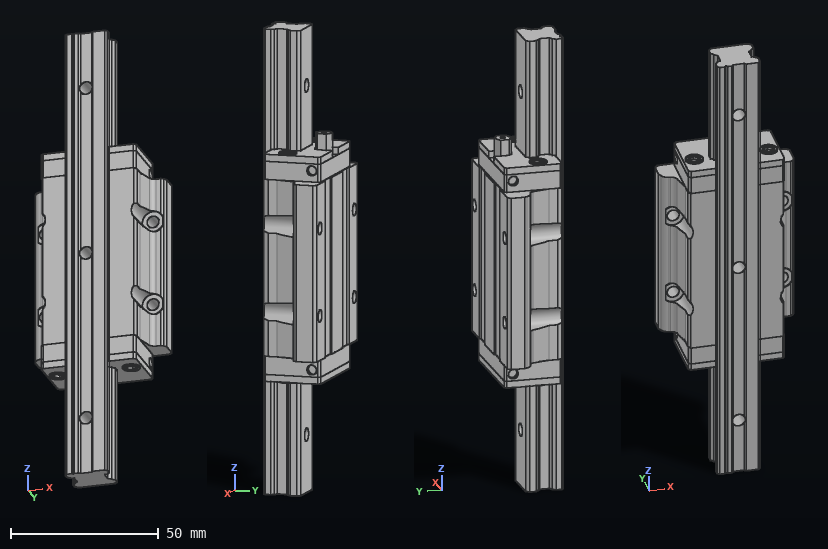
import cadquery as cq


RAIL_LENGTH = 160.0
RAIL_TOP = 13.1
RAIL_HALF_WIDTH = 7.5
RAIL_BASE_CHAMFER = 0.8
RAIL_TOP_CHAMFER = 1.1
RAIL_FOOT_TOP = 2.7
RAIL_FLARE_X = 6.7
RAIL_FLARE_Y = 3.8
RAIL_WAIST_HALF_WIDTH = 5.5
RAIL_WAIST_BOTTOM = 4.5
RAIL_WAIST_TOP = 7.8
BALL_GROOVE_OUTER_Y = 9.8
BALL_GROOVE_MID_X = 7.0
BALL_GROOVE_MID_Y = 9.5
BALL_GROOVE_INNER_X = 6.5
BALL_GROOVE_INNER_Y = 8.8
BASE_GROOVE_HALF_WIDTH = 2.5
BASE_GROOVE_SLOPE = 0.6
BASE_GROOVE_DEPTH = 0.6
MARK_GROOVE_X = -4.5
MARK_GROOVE_WIDTH = 1.0
MARK_GROOVE_DEPTH = 0.6
RAIL_HOLE_DIAMETER = 4.5
RAIL_HOLE_PITCH = 60.0

BLOCK_LENGTH = 60.8
CARRIAGE_OFFSET = -0.3
BLOCK_TOP = 24.0
BLOCK_BOTTOM = 3.0
FLANGE_HALF_WIDTH = 23.5
FLANGE_BOTTOM = 15.4
FLANGE_CHAMFER = 1.1
FLANGE_LOWER_CHAMFER = 1.6
FLANGE_LOWER_BEND_X = 22.7
FLANGE_LOWER_BEND_Y = 15.8
FLANGE_ROUND_TOP = 18.2
FLANGE_ROUND_START = (23.0, 17.3)
FLANGE_ROUND_MID = (22.2, 16.2)
FLANGE_ROUND_END_X = 20.6
FILLET_START_X = 20.2
FILLET_MID = (19.0, 14.9)
FILLET_END = (18.2, 14.0)
BODY_HALF_WIDTH = 16.8
BODY_SIDE_TOP = 7.8
BODY_CHAMFER = 0.6
BODY_CHAMFER_TOP = 4.8
TOP_RELIEF_DEPTH = 0.5
TOP_RELIEF_INNER_X = 6.0
TOP_RELIEF_OUTER_X = 13.1
TOP_RELIEF_SLOPE = 0.8
BLOCK_HOLE_DIAMETER = 4.2
BLOCK_HOLE_SPACING_X = 38.0
BLOCK_HOLE_SPACING_Z = 30.0
SPOTFACE_DIAMETER = 7.5
SPOTFACE_LEVEL = 15.7

CAP_TOP = 23.4
CAP_LENGTH = 6.2
SEAL_LENGTH = 2.4
CAP_CHAMFER = 0.8
SIDE_HOLE_DIAMETER = 3.4
SIDE_HOLE_Y = 20.3
SIDE_HOLE_FROM_BLOCK = 3.8
SIDE_HOLE_DEPTH = 1.6

SCREW_X = 13.0
SCREW_Y = 10.5
SCREW_HEAD_DIAMETER = 6.0
SCREW_HEAD_RISE = 0.5
SCREW_HEAD_CHAMFER = 0.3
SCREW_RIM_DIAMETER = 4.0
SCREW_RIM_DEPTH = 0.3
SCREW_SOCKET_CORNERS = 3.4
SCREW_SOCKET_DEPTH = 1.3

NIPPLE_Y = 19.4
NIPPLE_CORNERS = 6.0
NIPPLE_RISE = 5.5
NIPPLE_TIP_DIAMETER = 1.6
NIPPLE_TIP_RISE = 0.5
NIPPLE_SLOT_WIDTH = 6.2

CAP_START = BLOCK_LENGTH / 2
SEAL_START = CAP_START + CAP_LENGTH
SEAL_END = SEAL_START + SEAL_LENGTH


def extrude_z(profile, start, end):
    return profile.extrude(end - start).translate((0, 0, start))


def mirror_x(point):
    return (-point[0], point[1])


def cylinder_y(diameter, x, z, bottom, top):
    return cq.Workplane(
        cq.Solid.makeCylinder(diameter / 2, top - bottom, cq.Vector(x, bottom, z), cq.Vector(0, 1, 0))
    )


def rail_profile():
    """Closed rail section without the grooves in its base."""
    foot_edge_x = RAIL_HALF_WIDTH - RAIL_BASE_CHAMFER
    head_edge_x = RAIL_HALF_WIDTH - RAIL_TOP_CHAMFER
    head_side_top = RAIL_TOP - RAIL_TOP_CHAMFER
    return (
        cq.Workplane("XY")
        .moveTo(-foot_edge_x, 0)
        .lineTo(foot_edge_x, 0)
        .lineTo(RAIL_HALF_WIDTH, RAIL_BASE_CHAMFER)
        .lineTo(RAIL_HALF_WIDTH, RAIL_FOOT_TOP)
        .lineTo(RAIL_FLARE_X, RAIL_FLARE_Y)
        .lineTo(RAIL_WAIST_HALF_WIDTH, RAIL_WAIST_BOTTOM)
        .lineTo(RAIL_WAIST_HALF_WIDTH, RAIL_WAIST_TOP)
        .lineTo(BALL_GROOVE_INNER_X, BALL_GROOVE_INNER_Y)
        .threePointArc((BALL_GROOVE_MID_X, BALL_GROOVE_MID_Y), (RAIL_HALF_WIDTH, BALL_GROOVE_OUTER_Y))
        .lineTo(RAIL_HALF_WIDTH, head_side_top)
        .lineTo(head_edge_x, RAIL_TOP)
        .lineTo(-head_edge_x, RAIL_TOP)
        .lineTo(-RAIL_HALF_WIDTH, head_side_top)
        .lineTo(-RAIL_HALF_WIDTH, BALL_GROOVE_OUTER_Y)
        .threePointArc((-BALL_GROOVE_MID_X, BALL_GROOVE_MID_Y), (-BALL_GROOVE_INNER_X, BALL_GROOVE_INNER_Y))
        .lineTo(-RAIL_WAIST_HALF_WIDTH, RAIL_WAIST_TOP)
        .lineTo(-RAIL_WAIST_HALF_WIDTH, RAIL_WAIST_BOTTOM)
        .lineTo(-RAIL_FLARE_X, RAIL_FLARE_Y)
        .lineTo(-RAIL_HALF_WIDTH, RAIL_FOOT_TOP)
        .lineTo(-RAIL_HALF_WIDTH, RAIL_BASE_CHAMFER)
        .close()
    )


def make_rail():
    half_length = RAIL_LENGTH / 2
    rail = extrude_z(rail_profile(), -half_length, half_length)

    base_groove = cq.Workplane("XY").polyline([
        (-BASE_GROOVE_HALF_WIDTH, 0),
        (-BASE_GROOVE_HALF_WIDTH + BASE_GROOVE_SLOPE, BASE_GROOVE_DEPTH),
        (BASE_GROOVE_HALF_WIDTH - BASE_GROOVE_SLOPE, BASE_GROOVE_DEPTH),
        (BASE_GROOVE_HALF_WIDTH, 0),
    ]).close()
    rail = rail.cut(extrude_z(base_groove, -half_length, half_length))

    mark_groove = cq.Workplane("XY").polyline([
        (MARK_GROOVE_X - MARK_GROOVE_WIDTH / 2, 0),
        (MARK_GROOVE_X, MARK_GROOVE_DEPTH),
        (MARK_GROOVE_X + MARK_GROOVE_WIDTH / 2, 0),
    ]).close()
    rail = rail.cut(extrude_z(mark_groove, -half_length, half_length))

    for z in (-RAIL_HOLE_PITCH, 0, RAIL_HOLE_PITCH):
        rail = rail.cut(cylinder_y(RAIL_HOLE_DIAMETER, 0, z, 0, RAIL_TOP))
    return rail


def rail_opening(start, end):
    return extrude_z(rail_profile(), start, end)


def block_profile():
    """Carriage section: the +X flange has a bevelled lower edge, the -X flange a rounded one."""
    relief_y = BLOCK_TOP - TOP_RELIEF_DEPTH
    flange_edge_x = FLANGE_HALF_WIDTH - FLANGE_CHAMFER
    return (
        cq.Workplane("XY")
        .moveTo(-BODY_HALF_WIDTH + BODY_CHAMFER, BLOCK_BOTTOM)
        .lineTo(BODY_HALF_WIDTH - BODY_CHAMFER, BLOCK_BOTTOM)
        .lineTo(BODY_HALF_WIDTH, BODY_CHAMFER_TOP)
        .lineTo(BODY_HALF_WIDTH, BODY_SIDE_TOP)
        .lineTo(*FILLET_END)
        .threePointArc(FILLET_MID, (FILLET_START_X, FLANGE_BOTTOM))
        .lineTo(FLANGE_HALF_WIDTH - FLANGE_LOWER_CHAMFER, FLANGE_BOTTOM)
        .lineTo(FLANGE_LOWER_BEND_X, FLANGE_LOWER_BEND_Y)
        .lineTo(FLANGE_HALF_WIDTH, FLANGE_BOTTOM + FLANGE_LOWER_CHAMFER)
        .lineTo(FLANGE_HALF_WIDTH, BLOCK_TOP - FLANGE_CHAMFER)
        .lineTo(flange_edge_x, BLOCK_TOP)
        .lineTo(TOP_RELIEF_OUTER_X, BLOCK_TOP)
        .lineTo(TOP_RELIEF_OUTER_X - TOP_RELIEF_SLOPE, relief_y)
        .lineTo(TOP_RELIEF_INNER_X, relief_y)
        .lineTo(TOP_RELIEF_INNER_X, BLOCK_TOP)
        .lineTo(-TOP_RELIEF_INNER_X, BLOCK_TOP)
        .lineTo(-TOP_RELIEF_INNER_X, relief_y)
        .lineTo(-TOP_RELIEF_OUTER_X + TOP_RELIEF_SLOPE, relief_y)
        .lineTo(-TOP_RELIEF_OUTER_X, BLOCK_TOP)
        .lineTo(-flange_edge_x, BLOCK_TOP)
        .lineTo(-FLANGE_HALF_WIDTH, BLOCK_TOP - FLANGE_CHAMFER)
        .lineTo(-FLANGE_HALF_WIDTH, FLANGE_ROUND_TOP)
        .lineTo(*mirror_x(FLANGE_ROUND_START))
        .threePointArc(mirror_x(FLANGE_ROUND_MID), (-FLANGE_ROUND_END_X, FLANGE_BOTTOM))
        .lineTo(-FILLET_START_X, FLANGE_BOTTOM)
        .threePointArc(mirror_x(FILLET_MID), mirror_x(FILLET_END))
        .lineTo(-BODY_HALF_WIDTH, BODY_SIDE_TOP)
        .lineTo(-BODY_HALF_WIDTH, BODY_CHAMFER_TOP)
        .close()
    )


def make_block():
    half_length = BLOCK_LENGTH / 2
    block = extrude_z(block_profile(), -half_length, half_length)
    block = block.cut(rail_opening(-half_length, half_length))
    for side_x in (-1, 1):
        for side_z in (-1, 1):
            x = side_x * BLOCK_HOLE_SPACING_X / 2
            z = side_z * BLOCK_HOLE_SPACING_Z / 2
            block = block.cut(cylinder_y(BLOCK_HOLE_DIAMETER, x, z, 0, BLOCK_TOP))
            block = block.cut(cylinder_y(SPOTFACE_DIAMETER, x, z, 0, SPOTFACE_LEVEL))
    return block


def end_plate(start, end):
    """Plate with the end outline, chamfered along its four long edges and open around the rail."""
    plate = (
        cq.Workplane("XY")
        .center(0, (CAP_TOP + BLOCK_BOTTOM) / 2)
        .rect(2 * BODY_HALF_WIDTH, CAP_TOP - BLOCK_BOTTOM)
        .extrude(end - start)
        .edges("|Z")
        .chamfer(CAP_CHAMFER)
        .translate((0, 0, start))
    )
    return plate.cut(rail_opening(start, end))


def make_cap():
    """End cap at the +Z end, with a shallow hole in each side."""
    cap = end_plate(CAP_START, SEAL_START)
    for side in (-1, 1):
        hole = cq.Solid.makeCylinder(
            SIDE_HOLE_DIAMETER / 2,
            SIDE_HOLE_DEPTH,
            cq.Vector(side * BODY_HALF_WIDTH, SIDE_HOLE_Y, CAP_START + SIDE_HOLE_FROM_BLOCK),
            cq.Vector(-side, 0, 0),
        )
        cap = cap.cut(cq.Workplane(hole))
    return cap


def screw_head(x):
    """Chamfered round head with a shallow recess, standing on the seal face."""
    return (
        cq.Workplane("XY")
        .circle(SCREW_HEAD_DIAMETER / 2)
        .extrude(SCREW_HEAD_RISE)
        .faces(">Z")
        .chamfer(SCREW_HEAD_CHAMFER)
        .faces(">Z")
        .workplane()
        .hole(SCREW_RIM_DIAMETER, SCREW_RIM_DEPTH)
        .translate((x, SCREW_Y, SEAL_END))
    )


def hexagon_prism(corners, height):
    """Prism on the XY plane with two of its corners on the Y axis."""
    return cq.Workplane("XY").polygon(6, corners).extrude(height).rotate((0, 0, 0), (0, 0, 1), 90)


def make_seal():
    """End seal at the +Z end with its two screw heads."""
    seal = end_plate(SEAL_START, SEAL_END)
    socket_bottom = SEAL_END + SCREW_HEAD_RISE - SCREW_SOCKET_DEPTH
    for x in (-SCREW_X, SCREW_X):
        socket = hexagon_prism(SCREW_SOCKET_CORNERS, SCREW_SOCKET_DEPTH)
        seal = seal.union(screw_head(x))
        seal = seal.cut(socket.translate((x, SCREW_Y, socket_bottom)))
    return seal


def nipple_slot():
    """Round-bottomed slot through the seal, open at the top, that clears the grease nipple."""
    radius = NIPPLE_SLOT_WIDTH / 2
    outline = (
        cq.Workplane("XY")
        .moveTo(-radius, CAP_TOP)
        .lineTo(-radius, NIPPLE_Y)
        .threePointArc((0, NIPPLE_Y - radius), (radius, NIPPLE_Y))
        .lineTo(radius, CAP_TOP)
        .close()
    )
    return extrude_z(outline, SEAL_START, SEAL_END)


def make_nipple():
    """Hexagonal grease nipple standing on the +Z end cap, with a small conical tip."""
    nipple_top = SEAL_END + NIPPLE_RISE
    hexagon = hexagon_prism(NIPPLE_CORNERS, nipple_top - SEAL_START)
    hexagon = hexagon.translate((0, NIPPLE_Y, SEAL_START))
    tip = cq.Solid.makeCone(
        NIPPLE_TIP_DIAMETER / 2,
        0,
        NIPPLE_TIP_RISE,
        cq.Vector(0, NIPPLE_Y, nipple_top),
        cq.Vector(0, 0, 1),
    )
    return hexagon.union(cq.Workplane(tip))


def on_carriage(part):
    return part.translate((0, 0, CARRIAGE_OFFSET)).val()


rail = make_rail()
block = on_carriage(make_block())
nipple = on_carriage(make_nipple())

caps = [on_carriage(cap) for cap in (make_cap(), make_cap().mirror("XY"))]

upper_seal = make_seal().cut(nipple_slot())
lower_seal = make_seal().mirror("XY")
seals = [on_carriage(seal) for seal in (upper_seal, lower_seal)]

result = cq.Compound.makeCompound([rail.val(), block, *caps, *seals, nipple])